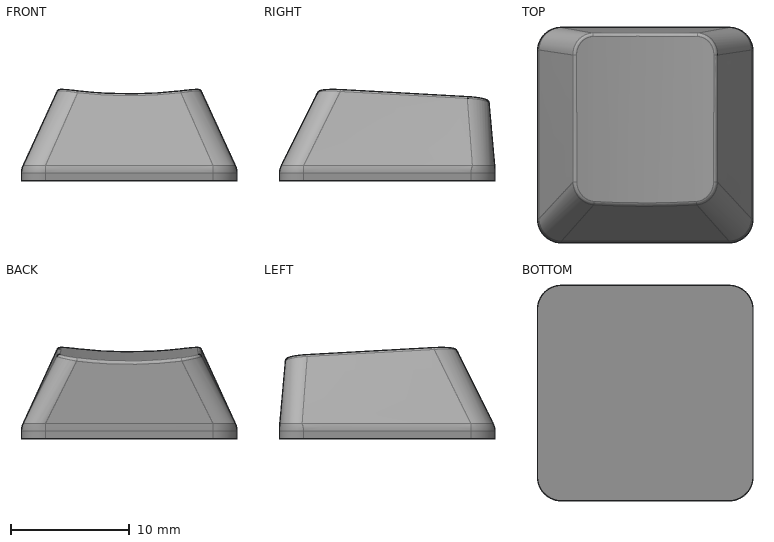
import cadquery as cq
import math

base_size = 18.16
base_corner_radius = 2.03
skirt_height = 0.65
bend_height = 0.65

side_slope = 0.448
front_slope = 0.492
back_slope = 0.083

crown_width = 11.73
crown_front_y = -5.54
crown_back_y = 8.52
crown_corner_radius = 1.82
crown_clearance = 0.76

dish_radius = 36.32
dish_center_height = 7.03
dish_fall_angle = 3.2
dish_cutter_length = 2 * base_size
rim_fillet_radius = 0.3


def bend_section(height):
    """Rounded outline within the bend, whose wall profile is a parabola tangent to the skirt."""
    rise = (height - skirt_height) ** 2 / (2 * bend_height)
    width = base_size - 2 * side_slope * rise
    depth = base_size - (front_slope + back_slope) * rise
    center_y = (front_slope - back_slope) * rise / 2
    corner_radius = base_corner_radius - side_slope * rise
    outline = cq.Sketch().rect(width, depth).vertices().fillet(corner_radius)
    return outline.moved(cq.Location(cq.Vector(0, center_y, height)))


def crown_section():
    """Rounded outline on a tilted plane just above the dished surface."""
    fall = math.radians(dish_fall_angle)
    depth = (crown_back_y - crown_front_y) / math.cos(fall)
    center_y = (crown_front_y + crown_back_y) / 2
    center_height = dish_center_height + crown_clearance - center_y * math.tan(fall)
    outline = cq.Sketch().rect(crown_width, depth).vertices().fillet(crown_corner_radius)
    center = cq.Vector(0, center_y, center_height)
    return outline.moved(cq.Location(center, cq.Vector(1, 0, 0), -dish_fall_angle))


def make_blank():
    """Skirt, curved bend and sloping walls up to the oversized crown."""
    foot = bend_section(skirt_height)
    bend_middle = bend_section(skirt_height + bend_height / 2)
    wall_foot = bend_section(skirt_height + bend_height)
    crown = crown_section()

    skirt = cq.Workplane("XY").rect(base_size, base_size).extrude(skirt_height)
    skirt = skirt.edges("|Z").fillet(base_corner_radius)
    bend = cq.Workplane("XY").placeSketch(foot, bend_middle, wall_foot).loft()
    walls = cq.Workplane("XY").placeSketch(wall_foot, crown).loft(ruled=True)
    return skirt.union(bend).union(walls)


def make_dish_cutter():
    """Long cylinder whose underside shapes the dished crown."""
    axis_height = dish_center_height + dish_radius / math.cos(math.radians(dish_fall_angle))
    return (
        cq.Workplane("XZ")
        .circle(dish_radius)
        .extrude(dish_cutter_length / 2, both=True)
        .rotate((0, 0, 0), (1, 0, 0), -dish_fall_angle)
        .translate((0, 0, axis_height))
    )


dished_cap = make_blank().cut(make_dish_cutter())
result = dished_cap.faces(">Z").edges().fillet(rim_fillet_radius)